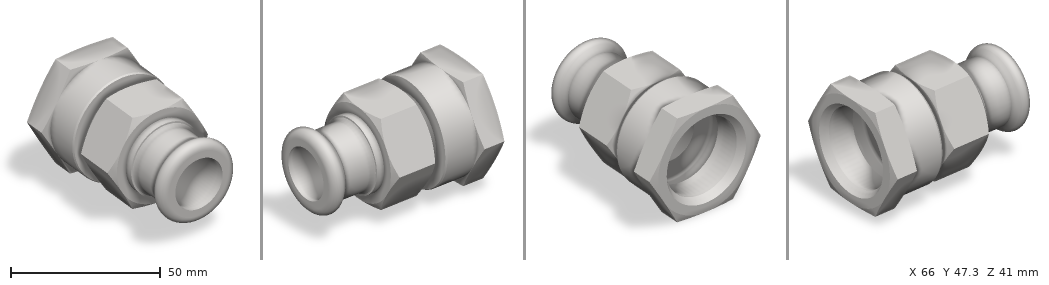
import cadquery as cq
import math


OVERALL_LENGTH = 66.0
BORE_RADIUS = 9.8

SOCKET_HEX_FLATS = 41.0
SOCKET_HEX_END = 9.9
SOCKET_HEX_CHAMFER = 0.8
SOCKET_SLEEVE_RADIUS = SOCKET_HEX_FLATS / 2
SOCKET_END = 22.9
SLEEVE_CHAMFER_LENGTH = 0.65
SLEEVE_CHAMFER_DEPTH = 0.3
MOUTH_RADIUS = 16.9
THREAD_RADIUS = 15.05
MOUTH_CHAMFER_LENGTH = 2.8
THREAD_END = 13.0
UNDERCUT_RADIUS = 17.15
SOCKET_FLOOR = 19.15
FLOOR_FILLET = 1.0

NECK_RADIUS = 14.7
NECK_FLAT_START = 23.8
NECK_FLAT_END = 24.7
NECK_FILLET = 1.25
NECK_CONE_ANGLE = 55.0
ADAPTER_HEX_FLATS = 36.0
ADAPTER_HEX_START = 26.0
ADAPTER_HEX_END = 44.1
ADAPTER_HEX_CHAMFER = 1.6
COLLAR_RADIUS = 14.25
COLLAR_END = 47.05
TUBE_RADIUS = 12.6
TUBE_START = 48.85
COLLAR_FILLET = 2.1
BEAD_OUTER_RADIUS = 15.6
BEAD_ARC_RADIUS = 3.0
BEAD_CONE_ANGLE = 45.0

DISC_RADIUS = 3.2
RIB_WIDTH = 1.5
DISC_THICKNESS = RIB_WIDTH
DISC_START = ADAPTER_HEX_END


def revolve_about_x(profile):
    """Turn a closed (x, radius) profile once around the X axis."""
    return profile.close().revolve(360, (0, 0, 0), (1, 0, 0))


def bore(start, end):
    return cq.Workplane("YZ", origin=(start, 0, 0)).circle(BORE_RADIUS).extrude(end - start)


def chamfered_hexagon(start, end, flats, chamfer_length):
    """Hexagon with corners on +Y and -Y, its corners cut back by a cone at both ends."""
    corner_radius = flats / math.sqrt(3)
    prism = (
        cq.Workplane("YZ", origin=(start, 0, 0))
        .polygon(6, 2 * corner_radius)
        .extrude(end - start)
    )
    envelope = revolve_about_x(
        cq.Workplane("XY")
        .moveTo(start, 0)
        .lineTo(start, flats / 2)
        .lineTo(start + chamfer_length, corner_radius)
        .lineTo(end - chamfer_length, corner_radius)
        .lineTo(end, flats / 2)
        .lineTo(end, 0)
    )
    return prism.intersect(envelope)


def socket_cavity():
    """Threaded bore with a tapered mouth and a wider undercut that is rounded into the floor."""
    round_offset = FLOOR_FILLET * math.sin(math.radians(45))
    round_x = SOCKET_FLOOR - FLOOR_FILLET
    round_radius = UNDERCUT_RADIUS - FLOOR_FILLET
    return revolve_about_x(
        cq.Workplane("XY")
        .lineTo(0, MOUTH_RADIUS)
        .lineTo(MOUTH_CHAMFER_LENGTH, THREAD_RADIUS)
        .lineTo(THREAD_END, THREAD_RADIUS)
        .lineTo(THREAD_END, UNDERCUT_RADIUS)
        .lineTo(round_x, UNDERCUT_RADIUS)
        .threePointArc(
            (round_x + round_offset, round_radius + round_offset),
            (SOCKET_FLOOR, round_radius),
        )
        .lineTo(SOCKET_FLOOR, 0)
    )


def make_threaded_socket():
    hexagon = chamfered_hexagon(0, SOCKET_HEX_END, SOCKET_HEX_FLATS, SOCKET_HEX_CHAMFER)
    sleeve = revolve_about_x(
        cq.Workplane("XY")
        .moveTo(SOCKET_HEX_END, 0)
        .lineTo(SOCKET_HEX_END, SOCKET_SLEEVE_RADIUS)
        .lineTo(SOCKET_END - SLEEVE_CHAMFER_LENGTH, SOCKET_SLEEVE_RADIUS)
        .lineTo(SOCKET_END, SOCKET_SLEEVE_RADIUS - SLEEVE_CHAMFER_DEPTH)
        .lineTo(SOCKET_END, 0)
    )
    return hexagon.union(sleeve).cut(socket_cavity()).cut(bore(0, SOCKET_END))


def fillet_rise(radius, run):
    """Height gained by an arc that starts along the axis and runs the given axial distance."""
    return radius - math.sqrt(radius**2 - run**2)


def neck():
    """Relief groove between the socket and the hexagon, rounded at both ends."""
    start_run = NECK_FLAT_START - SOCKET_END
    end_run = NECK_FILLET * math.sin(math.radians(NECK_CONE_ANGLE))
    cone_start = NECK_FLAT_END + end_run
    cone_start_radius = NECK_RADIUS + fillet_rise(NECK_FILLET, end_run)
    cone_rise = (ADAPTER_HEX_START - cone_start) * math.tan(math.radians(NECK_CONE_ANGLE))
    return revolve_about_x(
        cq.Workplane("XY")
        .moveTo(SOCKET_END, 0)
        .lineTo(SOCKET_END, NECK_RADIUS + fillet_rise(NECK_FILLET, start_run))
        .threePointArc(
            (NECK_FLAT_START - start_run / 2, NECK_RADIUS + fillet_rise(NECK_FILLET, start_run / 2)),
            (NECK_FLAT_START, NECK_RADIUS),
        )
        .lineTo(NECK_FLAT_END, NECK_RADIUS)
        .threePointArc(
            (NECK_FLAT_END + end_run / 2, NECK_RADIUS + fillet_rise(NECK_FILLET, end_run / 2)),
            (cone_start, cone_start_radius),
        )
        .lineTo(ADAPTER_HEX_START, cone_start_radius + cone_rise)
        .lineTo(ADAPTER_HEX_START, 0)
    )


def press_end():
    """Collar, tube and rolled bead; the bead arc is tangent to its cone and to the end face."""
    collar_run = TUBE_START - COLLAR_END
    bead_x = OVERALL_LENGTH - BEAD_ARC_RADIUS
    bead_centre_radius = BEAD_OUTER_RADIUS - BEAD_ARC_RADIUS
    cone_angle = math.radians(BEAD_CONE_ANGLE)
    cone_end = bead_x - BEAD_ARC_RADIUS * math.sin(cone_angle)
    cone_end_radius = bead_centre_radius + BEAD_ARC_RADIUS * math.cos(cone_angle)
    cone_start = cone_end - (cone_end_radius - TUBE_RADIUS) / math.tan(cone_angle)
    return revolve_about_x(
        cq.Workplane("XY")
        .moveTo(ADAPTER_HEX_END, 0)
        .lineTo(ADAPTER_HEX_END, COLLAR_RADIUS)
        .lineTo(COLLAR_END, COLLAR_RADIUS)
        .lineTo(COLLAR_END, TUBE_RADIUS + fillet_rise(COLLAR_FILLET, collar_run))
        .threePointArc(
            (TUBE_START - collar_run / 2, TUBE_RADIUS + fillet_rise(COLLAR_FILLET, collar_run / 2)),
            (TUBE_START, TUBE_RADIUS),
        )
        .lineTo(cone_start, TUBE_RADIUS)
        .lineTo(cone_end, cone_end_radius)
        .threePointArc(
            (bead_x, BEAD_OUTER_RADIUS),
            (OVERALL_LENGTH, bead_centre_radius),
        )
        .lineTo(OVERALL_LENGTH, 0)
    )


def disc_on_rib():
    """Disc on the axis with a rib up to the bore wall, sunk slightly so that they join."""
    rib_length = (BORE_RADIUS + TUBE_RADIUS) / 2
    plane = cq.Workplane("YZ", origin=(DISC_START, 0, 0))
    disc = plane.circle(DISC_RADIUS).extrude(DISC_THICKNESS)
    rib = plane.rect(RIB_WIDTH, rib_length, centered=(True, False)).extrude(DISC_THICKNESS)
    return disc.union(rib)


def make_press_adapter():
    hexagon = chamfered_hexagon(
        ADAPTER_HEX_START, ADAPTER_HEX_END, ADAPTER_HEX_FLATS, ADAPTER_HEX_CHAMFER
    )
    outside = hexagon.union(neck()).union(press_end())
    return outside.cut(bore(SOCKET_END, OVERALL_LENGTH)).union(disc_on_rib())


threaded_socket = make_threaded_socket()
press_adapter = make_press_adapter()

result = cq.Compound.makeCompound([threaded_socket.val(), press_adapter.val()])